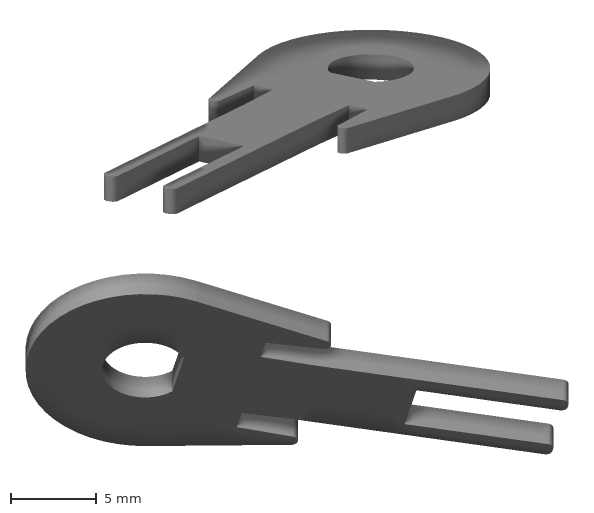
import cadquery as cq
import math

length = 31.82
width = 13.97
thickness = 1.55
head_radius = width / 2
stem_end_y = head_radius - length

hole_radius = 2.5
hole_flat_y = -1.97

flank_angle = math.radians(13.2)
barb_end_y = -10.12
barb_tip_radius = 0.38
notch_top_y = -6.35
notch_outer_top_x = 3.98

stem_half_width = 2.55
stem_root_half_width = 2.65
stem_taper_end_y = -9.55
prong_gap_half_width = 1.6
prong_gap_top_y = -15.88
prong_tip_radius = 0.38


def mirrored(points):
    """Return the points reflected across the Y axis, in reverse order."""
    return [(-x, y) for x, y in reversed(points)]


def make_plate():
    tangent_x = head_radius * math.cos(flank_angle)
    tangent_y = -head_radius * math.sin(flank_angle)

    tip_y = barb_end_y + barb_tip_radius
    tip_x = (head_radius - barb_tip_radius + tip_y * math.sin(flank_angle)) / math.cos(flank_angle)
    flank_end_x = tip_x + barb_tip_radius * math.cos(flank_angle)
    flank_end_y = tip_y - barb_tip_radius * math.sin(flank_angle)
    barb_inner_x = tip_x - barb_tip_radius

    right_side = [
        (notch_outer_top_x, notch_top_y),
        (stem_root_half_width, notch_top_y),
        (stem_half_width, stem_taper_end_y),
        (stem_half_width, stem_end_y),
        (prong_gap_half_width, stem_end_y),
        (prong_gap_half_width, prong_gap_top_y),
    ]
    outline = (
        cq.Workplane("XY")
        .moveTo(tangent_x, tangent_y)
        .lineTo(flank_end_x, flank_end_y)
        .threePointArc((tip_x, barb_end_y), (barb_inner_x, tip_y))
    )
    for point in right_side + mirrored(right_side):
        outline = outline.lineTo(*point)
    return (
        outline.lineTo(-barb_inner_x, tip_y)
        .threePointArc((-tip_x, barb_end_y), (-flank_end_x, flank_end_y))
        .lineTo(-tangent_x, tangent_y)
        .threePointArc((0, head_radius), (tangent_x, tangent_y))
        .close()
        .extrude(thickness)
    )


def round_prong_tips(plate):
    """Round the upright edges on the end faces of the prongs."""
    return plate.faces("<Y").edges("|Z").fillet(prong_tip_radius)


def make_d_hole():
    flat_half_width = math.sqrt(hole_radius**2 - hole_flat_y**2)
    return (
        cq.Workplane("XY")
        .moveTo(-flat_half_width, hole_flat_y)
        .threePointArc((0, hole_radius), (flat_half_width, hole_flat_y))
        .close()
        .extrude(thickness)
    )


plate = round_prong_tips(make_plate())
result = plate.cut(make_d_hole())